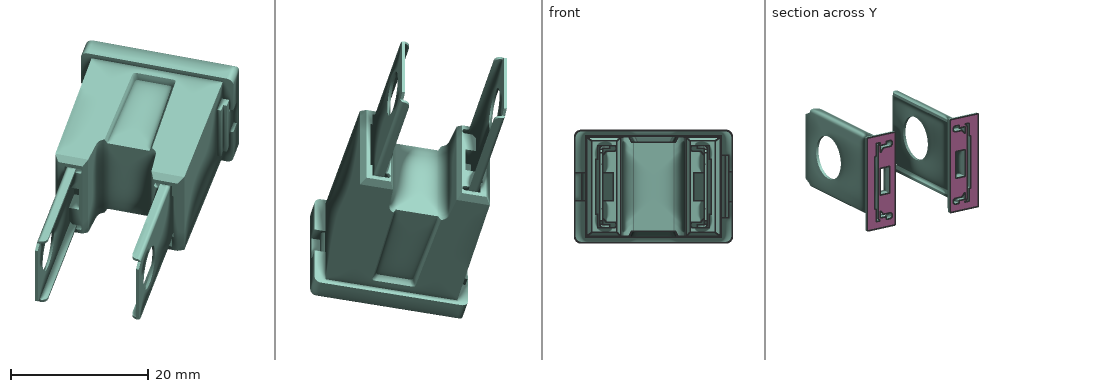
import cadquery as cq


OVERLAP = 1.0

CAP_WIDTH = 23.0
CAP_HEIGHT = 16.4
CAP_DEPTH = 3.25
CAP_CORNER_RADIUS = 1.0
CAP_RIM_RADIUS = 0.6

BODY_ROOT_WIDTH = 19.78
BODY_ROOT_HEIGHT = 14.78
BODY_END_WIDTH = 19.48
BODY_END_HEIGHT = 14.42
TIP_START_DEPTH = 24.25
BODY_END_DEPTH = 25.3

NOTCH_FLOOR_DEPTH = 19.37
NOTCH_FLOOR_HALF_WIDTH = 4.36
NOTCH_CORNER_RADIUS = 1.5
NOTCH_MOUTH_HALF_WIDTH = 4.78

TIP_OUTER_INSET = 0.75
TIP_INNER_INSET = 0.55
TIP_FACE_INSET = 0.55

RECESS_FLOOR_HEIGHT = 6.49
RECESS_BACK_DEPTH = 5.08
RECESS_BACK_HALF_WIDTH = 2.76
RECESS_FRONT_HALF_WIDTH = 3.2
RECESS_CORNER_RADIUS = 0.5
RECESS_WALL_SLOPE = 0.53

LATCH_HALF_WIDTH = 2.05
LATCH_BACK_DEPTH = 1.24
LATCH_FLOOR_X = -9.75

BARB_BACK_DEPTH = 1.62
BARB_BULGE_X = -10.28
BARB_BULGE_DEPTH = 1.9
BARB_CREST_X = -10.44
BARB_CREST_DEPTH = 2.55
BARB_NOSE_X = -10.27
BARB_NOSE_DEPTH = 2.83
BARB_FRONT_DEPTH = 3.0

KEY_HALF_WIDTH = 4.55
KEY_BACK_DEPTH = 3.73
KEY_STEP_DEPTH = 5.05
KEY_END_DEPTH = 6.25
KEY_OUTER_X = 11.0
KEY_STEP_X = 10.46
NECK_HALF_WIDTH = 2.17

BLADE_OUTER_X = 7.84
BLADE_FLANGE_X = 6.36
BLADE_THICKNESS = 0.43
BLADE_HALF_HEIGHT = 6.0
BLADE_BEND_RADIUS = 0.53
BLADE_TIP_DEPTH = 42.81
FLANGE_END_DEPTH = 41.75
FLANGE_END_RADIUS = 0.9
TIP_CHAMFER_LENGTH = 1.0
TIP_CHAMFER_HEIGHT = 0.5
HOLE_DIAMETER = 6.5
HOLE_DEPTH = 36.81

SOCKET_DEPTH = 3.0
SOCKET_OUTER_X = 8.13
SOCKET_RELIEF_X = 8.39
SOCKET_RELIEF_HALF_HEIGHT = 4.02
SOCKET_ARM_X = 5.43
SOCKET_ARM_HEIGHT = 0.83
SOCKET_ARM_CHAMFER = 0.2
SOCKET_CORNER_X = 6.9
SOCKET_CORNER_HALF_HEIGHT = 4.55
SOCKET_POCKET_X = 5.87
SOCKET_POCKET_HALF_HEIGHT = 2.03


def plane_at(depth):
    """Plane parallel to the cap back; local axes are X and Z, extrusion runs toward -Y."""
    return cq.Workplane("XZ").workplane(offset=depth)


def block(x_range, depth_range, half_height):
    """Box between two X values and two depths, centred on Z = 0."""
    x_start, x_end = x_range
    depth_start, depth_end = depth_range
    return (
        plane_at(depth_start)
        .center((x_start + x_end) / 2, 0)
        .rect(abs(x_end - x_start), 2 * half_height)
        .extrude(depth_end - depth_start)
    )


def mirrored_pair(shape):
    """The shape joined with its mirror image across X = 0."""
    return shape.union(shape.mirror("YZ"))


def make_cap():
    """Cap with its back rim rounded on the -X, +Z and -Z sides; the +X side stays square."""
    outline = plane_at(0).rect(CAP_WIDTH, CAP_HEIGHT).extrude(CAP_DEPTH)
    outline = outline.edges("|Y").fillet(CAP_CORNER_RADIUS)
    rounded = (
        plane_at(0)
        .center(OVERLAP / 2, 0)
        .rect(CAP_WIDTH + OVERLAP, CAP_HEIGHT)
        .extrude(CAP_DEPTH)
        .edges("|Y and <X")
        .fillet(CAP_CORNER_RADIUS)
        .faces(">Y")
        .edges("not >X")
        .fillet(CAP_RIM_RADIUS)
    )
    return outline.intersect(rounded)


def make_body():
    body = (
        plane_at(CAP_DEPTH)
        .rect(BODY_ROOT_WIDTH, BODY_ROOT_HEIGHT)
        .workplane(offset=TIP_START_DEPTH - CAP_DEPTH)
        .rect(BODY_END_WIDTH, BODY_END_HEIGHT)
        .loft(ruled=True)
    )
    return body.cut(make_notch()).union(mirrored_pair(make_leg_tip()))


def make_notch():
    return (
        cq.Workplane("XY")
        .polyline([
            (-NOTCH_FLOOR_HALF_WIDTH, -NOTCH_FLOOR_DEPTH),
            (NOTCH_FLOOR_HALF_WIDTH, -NOTCH_FLOOR_DEPTH),
            (NOTCH_MOUTH_HALF_WIDTH, -TIP_START_DEPTH),
            (-NOTCH_MOUTH_HALF_WIDTH, -TIP_START_DEPTH),
        ])
        .close()
        .extrude(CAP_HEIGHT / 2, both=True)
        .edges("|Z and >Y")
        .fillet(NOTCH_CORNER_RADIUS)
    )


def make_leg_tip():
    outer_x = BODY_END_WIDTH / 2
    inner_x = NOTCH_MOUTH_HALF_WIDTH
    leg_width = outer_x - inner_x
    end_shift = (TIP_INNER_INSET - TIP_OUTER_INSET) / 2
    return (
        plane_at(TIP_START_DEPTH)
        .center((outer_x + inner_x) / 2, 0)
        .rect(leg_width, BODY_END_HEIGHT)
        .workplane(offset=BODY_END_DEPTH - TIP_START_DEPTH)
        .center(end_shift, 0)
        .rect(leg_width - TIP_INNER_INSET - TIP_OUTER_INSET, BODY_END_HEIGHT - 2 * TIP_FACE_INSET)
        .loft(ruled=True)
    )


def make_recess():
    """Recess in the +Z face, its walls opening outward and its front running into the notch."""
    depth = BODY_ROOT_HEIGHT / 2 - RECESS_FLOOR_HEIGHT
    spread = RECESS_WALL_SLOPE * depth
    front_y = -NOTCH_FLOOR_DEPTH - OVERLAP

    def outline(growth):
        back_y = growth - RECESS_BACK_DEPTH
        back_x = RECESS_BACK_HALF_WIDTH + growth
        front_x = RECESS_FRONT_HALF_WIDTH + growth
        return [(-back_x, back_y), (back_x, back_y), (front_x, front_y), (-front_x, front_y)]

    return (
        cq.Workplane("XY")
        .workplane(offset=RECESS_FLOOR_HEIGHT)
        .polyline(outline(0))
        .close()
        .workplane(offset=depth)
        .polyline(outline(spread))
        .close()
        .loft(ruled=True)
        .faces(">Y")
        .edges("not |X")
        .fillet(RECESS_CORNER_RADIUS)
    )


def add_latch(part):
    notch = block(
        (-CAP_WIDTH / 2 - OVERLAP, LATCH_FLOOR_X),
        (LATCH_BACK_DEPTH, CAP_DEPTH),
        LATCH_HALF_WIDTH,
    )
    barb = (
        cq.Workplane("XY")
        .moveTo(LATCH_FLOOR_X + OVERLAP, -BARB_BACK_DEPTH)
        .lineTo(LATCH_FLOOR_X, -BARB_BACK_DEPTH)
        .threePointArc((BARB_BULGE_X, -BARB_BULGE_DEPTH), (BARB_CREST_X, -BARB_CREST_DEPTH))
        .threePointArc((BARB_NOSE_X, -BARB_NOSE_DEPTH), (-BODY_ROOT_WIDTH / 2, -BARB_FRONT_DEPTH))
        .lineTo(-BODY_ROOT_WIDTH / 2, -CAP_DEPTH)
        .lineTo(LATCH_FLOOR_X + OVERLAP, -CAP_DEPTH)
        .close()
        .extrude(LATCH_HALF_WIDTH, both=True)
    )
    return part.cut(notch).union(barb)


def add_key(part):
    root_x = BODY_END_WIDTH / 2 - OVERLAP
    notch = block(
        (KEY_OUTER_X, CAP_WIDTH / 2 + OVERLAP),
        (LATCH_BACK_DEPTH, CAP_DEPTH),
        NECK_HALF_WIDTH,
    )
    neck = block((root_x, KEY_OUTER_X), (CAP_DEPTH, KEY_BACK_DEPTH), NECK_HALF_WIDTH)
    key = block((root_x, KEY_OUTER_X), (KEY_BACK_DEPTH, KEY_STEP_DEPTH), KEY_HALF_WIDTH)
    step = block((root_x, KEY_STEP_X), (KEY_STEP_DEPTH, KEY_END_DEPTH), KEY_HALF_WIDTH)
    return part.cut(notch).union(neck).union(key).union(step)


def make_socket():
    """Clearance around the +X blade: a slot with two arms, an outer relief and an inner pocket."""
    block_x = BLADE_OUTER_X - BLADE_THICKNESS
    arm_inner = BLADE_HALF_HEIGHT - SOCKET_ARM_HEIGHT
    chamfer = SOCKET_ARM_CHAMFER
    upper = [
        (block_x, SOCKET_CORNER_HALF_HEIGHT),
        (SOCKET_CORNER_X, arm_inner),
        (SOCKET_ARM_X + chamfer, arm_inner),
        (SOCKET_ARM_X, arm_inner + chamfer),
        (SOCKET_ARM_X, BLADE_HALF_HEIGHT - chamfer),
        (SOCKET_ARM_X + chamfer, BLADE_HALF_HEIGHT),
        (SOCKET_OUTER_X, BLADE_HALF_HEIGHT),
    ]
    lower = [(x, -z) for x, z in reversed(upper)]
    floor_depth = BODY_END_DEPTH - SOCKET_DEPTH
    depths = (floor_depth, BODY_END_DEPTH)
    slot = plane_at(floor_depth).polyline(upper + lower).close().extrude(SOCKET_DEPTH)
    relief = block((block_x, SOCKET_RELIEF_X), depths, SOCKET_RELIEF_HALF_HEIGHT)
    pocket = block((SOCKET_POCKET_X, SOCKET_OUTER_X), depths, SOCKET_POCKET_HALF_HEIGHT)
    return slot.union(relief).union(pocket)


def make_blade():
    """+X blade: a plate with two flanges bent toward the centre and a bolt hole."""
    root_depth = BODY_END_DEPTH - SOCKET_DEPTH - OVERLAP
    inner_x = BLADE_OUTER_X - BLADE_THICKNESS
    channel = block((BLADE_FLANGE_X, BLADE_OUTER_X), (root_depth, FLANGE_END_DEPTH), BLADE_HALF_HEIGHT)
    channel = channel.edges("|Y and >X").fillet(BLADE_BEND_RADIUS)
    channel = channel.edges("|Z and <X and <Y").fillet(FLANGE_END_RADIUS)
    hollow = block(
        (BLADE_FLANGE_X - OVERLAP, inner_x),
        (root_depth, FLANGE_END_DEPTH),
        BLADE_HALF_HEIGHT - BLADE_THICKNESS,
    )
    plate_half_height = BLADE_HALF_HEIGHT - BLADE_BEND_RADIUS
    chamfer_y = TIP_CHAMFER_LENGTH - BLADE_TIP_DEPTH
    tip_half_height = plate_half_height - TIP_CHAMFER_HEIGHT
    plate = (
        cq.Workplane("YZ")
        .workplane(offset=inner_x)
        .polyline([
            (-root_depth, plate_half_height),
            (chamfer_y, plate_half_height),
            (-BLADE_TIP_DEPTH, tip_half_height),
            (-BLADE_TIP_DEPTH, -tip_half_height),
            (chamfer_y, -plate_half_height),
            (-root_depth, -plate_half_height),
        ])
        .close()
        .extrude(BLADE_THICKNESS)
    )
    hole = (
        cq.Workplane("YZ")
        .center(-HOLE_DEPTH, 0)
        .circle(HOLE_DIAMETER / 2)
        .extrude(BLADE_OUTER_X + OVERLAP)
    )
    return channel.cut(hollow).union(plate).cut(hole)


recess = make_recess()
part = make_cap().union(make_body())
part = part.cut(recess).cut(recess.mirror("XY"))
part = add_latch(part)
part = add_key(part)
part = part.cut(mirrored_pair(make_socket()))
result = part.union(mirrored_pair(make_blade()))